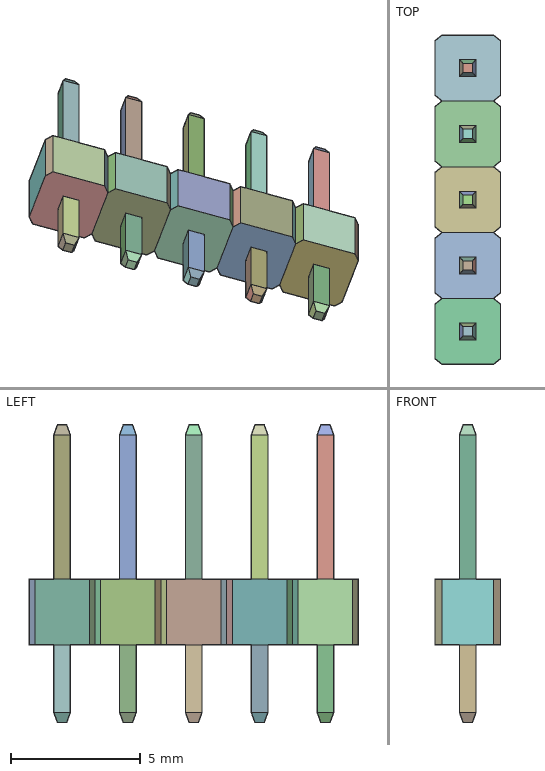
import cadquery as cq

contact_count = 5
pitch = 2.54

block_size = pitch
block_height = 2.54
corner_run_x = 0.27
corner_run_y = 0.22

pin_width = 0.65
pin_length = 11.5
pin_below_block = 3.0
tip_length = 0.4
tip_width = 0.36

block_bottom = 0.0
pin_bottom = block_bottom - pin_below_block
pin_top = pin_bottom + pin_length
shank_bottom = pin_bottom + tip_length
shank_length = pin_length - 2 * tip_length


def make_block():
    """Square block with its four vertical corners cut off, bottom face at block_bottom."""
    half = block_size / 2
    near_x = half - corner_run_x
    near_y = half - corner_run_y
    outline = [
        (near_x, -half),
        (half, -near_y),
        (half, near_y),
        (near_x, half),
        (-near_x, half),
        (-half, near_y),
        (-half, -near_y),
        (-near_x, -half),
    ]
    return cq.Workplane("XY", origin=(0, 0, block_bottom)).polyline(outline).close().extrude(block_height)


def make_tip(end_z, shank_z):
    """Square taper from the narrow pin end to the full pin width."""
    return (
        cq.Workplane("XY", origin=(0, 0, shank_z))
        .rect(pin_width, pin_width)
        .workplane(offset=end_z - shank_z)
        .rect(tip_width, tip_width)
        .loft(ruled=True)
    )


def make_pin():
    """Square shank running through the block, with a taper at each end."""
    shank = cq.Workplane("XY", origin=(0, 0, shank_bottom)).rect(pin_width, pin_width).extrude(shank_length)
    lower_tip = make_tip(pin_bottom, shank_bottom)
    upper_tip = make_tip(pin_top, shank_bottom + shank_length)
    return shank.union(lower_tip).union(upper_tip)


def make_contact(y):
    """One block and its pin as a single solid, centred at the given Y."""
    return make_block().union(make_pin()).translate((0, y, 0))


first_y = -pitch * (contact_count - 1) / 2
contacts = [make_contact(first_y + index * pitch) for index in range(contact_count)]

result = cq.Compound.makeCompound([contact.val() for contact in contacts])